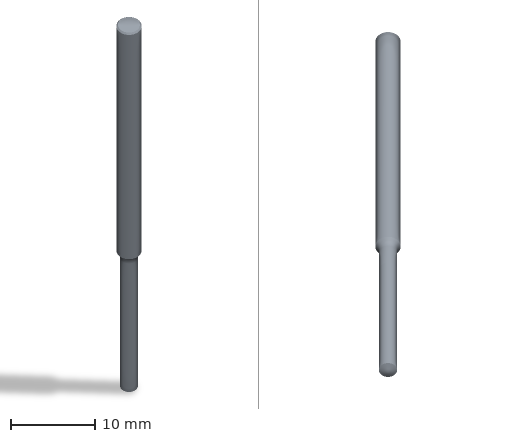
import cadquery as cq
import math

total_length = 61.0
shank_radius = 3.0 / 2
drill_radius = 2.15 / 2

point_angle = 140.0
point_height = drill_radius / math.tan(math.radians(point_angle / 2))
cutting_length = 18.9

flare_bottom_z = 22.0
flare_radius = 1.5
flare_height = 0.7
cone_height = 0.43
shank_bottom_z = flare_bottom_z + flare_height + cone_height

bevel = 0.2


def turn(profile):
    """Revolve a half profile, drawn as radius and height, about the Z axis."""
    return profile.close().revolve(360, (0, 0, 0), (0, 1, 0))


def flare_point(height):
    """Point on the concave flare arc, which leaves the straight neck tangentially."""
    spread = flare_radius - math.sqrt(flare_radius**2 - height**2)
    return (drill_radius + spread, flare_bottom_z + height)


def make_cutting_end():
    """Cylinder with a conical point."""
    profile = (
        cq.Workplane("XZ")
        .lineTo(drill_radius, point_height)
        .lineTo(drill_radius, cutting_length)
        .lineTo(0, cutting_length)
    )
    return turn(profile)


def make_neck():
    """Straight neck that widens through the flare and the cone to the shank diameter."""
    profile = (
        cq.Workplane("XZ")
        .moveTo(0, cutting_length)
        .lineTo(drill_radius, cutting_length)
        .lineTo(drill_radius, flare_bottom_z)
        .threePointArc(flare_point(flare_height / 2), flare_point(flare_height))
        .lineTo(shank_radius, shank_bottom_z)
        .lineTo(0, shank_bottom_z)
    )
    return turn(profile)


def make_shank():
    """Cylinder with a bevelled back end."""
    return (
        cq.Workplane("XY")
        .workplane(offset=shank_bottom_z)
        .circle(shank_radius)
        .extrude(total_length - shank_bottom_z)
        .faces(">Z")
        .chamfer(bevel)
    )


cutting_end = make_cutting_end()
neck = make_neck()
shank = make_shank()

result = cq.Compound.makeCompound([cutting_end.val(), neck.val(), shank.val()])